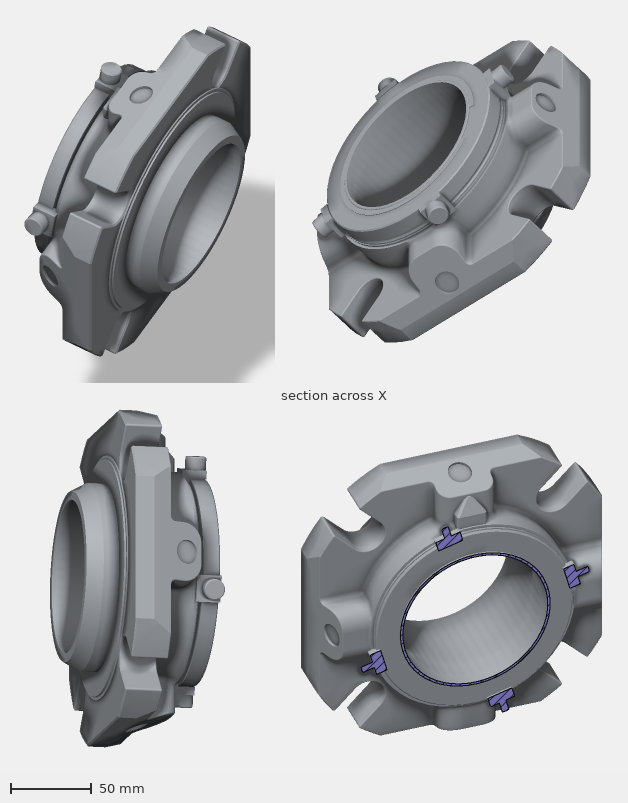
import cadquery as cq
import math


sleeve_length = 83.4
bore_diameter = 95.3
sleeve_front_diameter = 99.2
sleeve_front_chamfer = 0.4
sleeve_rear_diameter = 117.0
sleeve_end_diameter = 106.4
rear_taper_length = 9.7

snap_ring_diameter = 106.4
snap_ring_front = 0.5
snap_ring_gap_angle = 29.0

collar_diameter = 130.1
collar_front = 1.2
collar_rear = 11.9
collar_chamfer = 0.8

gland_lip_diameter = 131.7
gland_lip_front = 15.5
gland_nose_diameter = 130.1
gland_nose_front = 13.8
gland_nose_chamfer = 0.8
gland_diameter = 135.2
gland_front = 17.0

flange_size = 194.8
flange_corner_diameter = 214.7
flange_front = 38.4
flange_rear = 61.8
side_taper_start = 50.0
side_taper_angle = 20.0
taper = math.radians(side_taper_angle)
corner_round = 1.2
front_edge_fillet = 0.8
rear_edge_chamfer = 1.0

gasket_diameter = 152.0
gasket_face_diameter = 147.5
gasket_step = 62.7
gasket_rear = 63.9

slot_width = 22.8
slot_end_radius = 86.9

boss_half_width = 18.7
boss_front = 17.5
boss_corner_radius = 12.0
top_boss_front = 24.2
top_boss_corner_radius = 8.4
boss_inner = 58.5
boss_outer = 101.3
boss_foot_fillet = 3.1
barrel_foot_fillet = 2.1

port_diameter = 15.2
port_depth = 2.0
vertical_port_x = 40.1
side_port_x = 27.5

badge_front = 18.0
badge_rear = 27.3
badge_half_width = 9.7
badge_base = 66.2
badge_shoulder = 75.8
badge_top = 87.0
badge_top_half_width = 1.4
badge_chamfer = 1.2

clip_width = 16.8
clip_front = collar_front
clip_rear = 16.5
clip_inner = 62.3
clip_outer = 69.7
screw_diameter = 13.0
screw_x = 6.8
screw_tip = 78.0
screw_tip_chamfer = 0.68
first_clip_angle = -15.0

tolerance = 0.02
barrel_tolerance = 0.2


def disc(diameter, x_start, x_end):
    """Cylinder on the shaft axis between two X positions."""
    return cq.Workplane("YZ").workplane(offset=x_start).circle(diameter / 2).extrude(x_end - x_start)


def turn(solid, angle):
    """Turn a solid about the shaft axis."""
    return solid.rotate((0, 0, 0), (1, 0, 0), angle)


def side_height(x):
    """Distance from the axis to the tapered flange side at a given X."""
    return flange_size / 2 - (side_taper_start - x) * math.tan(taper)


def pick_edges(body, wanted):
    """Select the edges of a body for which the test function holds."""
    return body.newObject([edge for edge in body.edges().vals() if wanted(edge)])


def boss(front, corner_radius):
    """Upward boss with two round front corners, longer than the flange side allows."""
    return (
        cq.Workplane("XY")
        .workplane(offset=boss_inner)
        .moveTo((front + side_taper_start) / 2, 0)
        .rect(side_taper_start - front, 2 * boss_half_width)
        .extrude(boss_outer - boss_inner)
        .edges("|Z and <X")
        .fillet(corner_radius)
    )


def flange_envelope():
    """Square block whose sides taper inward towards the front."""
    square = cq.Workplane("YZ").workplane(offset=side_taper_start).rect(flange_size, flange_size)
    tapered = square.extrude(-side_taper_start, taper=side_taper_angle)
    straight = square.newObject(tapered.faces(">X").vals()).wires().toPending()
    return tapered.union(straight.extrude(flange_rear - side_taper_start))


def slot():
    """Bolt slot, open at the +Y end."""
    length = flange_size
    return (
        cq.Workplane("YZ")
        .center(slot_end_radius + length / 2, 0)
        .slot2D(length + slot_width, slot_width)
        .extrude(flange_rear)
    )


def on_barrel(point):
    """True for a point on the cylindrical surface of the gland barrel."""
    return abs(math.hypot(point.y, point.z) - gland_diameter / 2) < barrel_tolerance


def on_flange_face(point):
    """True for a point on the front face of the flange."""
    return abs(point.x - flange_front) < tolerance


def is_boss_foot_edge(edge):
    """True where a boss meets the barrel behind its front face, or meets the flange face."""
    middle = edge.positionAt(0.5)
    if on_flange_face(middle):
        return not on_barrel(middle) and math.hypot(middle.y, middle.z) < boss_outer - tolerance
    return on_barrel(middle) and middle.x > boss_front + tolerance


def is_barrel_foot_edge(edge):
    """True where the gland barrel meets the flange face."""
    middle = edge.positionAt(0.5)
    return on_flange_face(middle) and on_barrel(middle)


def flange_blank():
    """Plate, gland barrel and bosses, filleted round the feet and trimmed to the tapered sides."""
    blank = turn(disc(flange_corner_diameter, flange_front, flange_rear), 45)
    blank = blank.union(turn(disc(gland_diameter, gland_front, flange_front), 45))
    blank = blank.union(boss(top_boss_front, top_boss_corner_radius))
    for index in range(1, 4):
        blank = blank.union(turn(boss(boss_front, boss_corner_radius), 90 * index))
    blank = pick_edges(blank, is_boss_foot_edge).fillet(boss_foot_fillet)
    blank = pick_edges(blank, is_barrel_foot_edge).fillet(barrel_foot_fillet)
    return blank.intersect(flange_envelope())


def is_front_rim_edge(edge):
    """True for the outer edges of the flange face: slots, slot mouths, corners and sides."""
    middle = edge.positionAt(0.5)
    in_face = on_flange_face(middle) and edge.BoundingBox().xlen < tolerance
    clear_of_barrel = math.hypot(middle.y, middle.z) > gland_diameter / 2 + 2 * barrel_foot_fillet
    clear_of_boss = min(abs(middle.y), abs(middle.z)) > boss_half_width + boss_foot_fillet + tolerance
    return in_face and clear_of_barrel and clear_of_boss


def is_mouth_edge(edge):
    """True for the edges along the shaft where a slot breaks out of the flange corner."""
    middle = edge.positionAt(0.5)
    at_corner = math.hypot(middle.y, middle.z) > flange_corner_diameter / 2 - 2
    beside_slot = abs(abs(middle.y) - abs(middle.z)) < slot_width
    return at_corner and beside_slot


def port(angle, x):
    """Blind port tool, square to the tapered side, on the boss at the given turn from the top."""
    side_normal = (-math.sin(taper), 0, math.cos(taper))
    mouth_plane = cq.Plane(origin=(x, 0, side_height(x)), xDir=(0, 1, 0), normal=side_normal)
    tool = cq.Workplane(mouth_plane).workplane(offset=-port_depth)
    return turn(tool.circle(port_diameter / 2).extrude(2 * port_depth), angle)


def flange():
    """Slotted flange with eased edges and four blind ports."""
    body = flange_blank()
    for index in range(4):
        body = body.cut(turn(slot(), 45 + 90 * index))
    body = pick_edges(body, is_mouth_edge).fillet(corner_round)
    body = pick_edges(body, is_front_rim_edge).fillet(front_edge_fillet)
    body = body.faces(">X").chamfer(rear_edge_chamfer)
    for angle, x in ((0, vertical_port_x), (90, side_port_x), (180, vertical_port_x), (270, side_port_x)):
        body = body.cut(port(angle, x))
    return body


def is_badge_rim_edge(edge):
    """True for the outline of the badge face, leaving out the crease across its shoulders."""
    middle = edge.positionAt(0.5)
    return middle.x < badge_rear - tolerance and abs(middle.z - badge_shoulder) > tolerance


def badge():
    """House-shaped plate whose pointed upper part slopes back into the top boss."""
    outline = (
        cq.Workplane("YZ")
        .workplane(offset=badge_front)
        .moveTo(-badge_half_width, badge_base)
        .lineTo(badge_half_width, badge_base)
        .lineTo(badge_half_width, badge_shoulder)
        .lineTo(badge_top_half_width, badge_top)
        .lineTo(-badge_top_half_width, badge_top)
        .lineTo(-badge_half_width, badge_shoulder)
        .close()
        .extrude(badge_rear - badge_front)
    )
    side_profile = (
        cq.Workplane("XZ")
        .moveTo(badge_front, badge_base)
        .lineTo(badge_rear, badge_base)
        .lineTo(badge_rear, badge_top)
        .lineTo(top_boss_front, badge_top)
        .lineTo(badge_front, badge_shoulder)
        .close()
        .extrude(badge_half_width, both=True)
    )
    plate = outline.intersect(side_profile)
    rim = [edge for edge in plate.edges("not(|X)").vals() if is_badge_rim_edge(edge)]
    return plate.newObject(rim).chamfer(badge_chamfer)


def sleeve():
    """Solid sleeve blank: slim front, wider tapered rear behind the flange."""
    rear = disc(sleeve_rear_diameter, flange_rear, sleeve_length)
    rear_reduction = (sleeve_rear_diameter - sleeve_end_diameter) / 2
    rear = rear.faces(">X").chamfer(rear_taper_length, rear_reduction)
    front = disc(sleeve_front_diameter, 0, flange_rear).faces("<X").chamfer(sleeve_front_chamfer)
    return front.union(rear)


def gasket():
    """Backing gasket with a smaller raised face."""
    base = disc(gasket_diameter, flange_rear, gasket_step)
    return base.union(disc(gasket_face_diameter, gasket_step, gasket_rear))


def gland_nose():
    """Stepped front end of the gland barrel, facing the collar."""
    nose = disc(gland_nose_diameter, gland_nose_front, gland_front).faces("<X").chamfer(gland_nose_chamfer)
    return nose.union(disc(gland_lip_diameter, gland_lip_front, gland_front))


def collar():
    """Clamping collar with an eased front rim."""
    return disc(collar_diameter, collar_front, collar_rear).faces("<X").chamfer(collar_chamfer)


def snap_ring():
    """Ring in front of the collar, with a gap that starts on the -Y side and runs downward."""
    ring = disc(snap_ring_diameter, snap_ring_front, collar_front)
    gap_angle = math.radians(snap_ring_gap_angle)
    gap = (
        cq.Workplane("YZ")
        .lineTo(-snap_ring_diameter, 0)
        .lineTo(-snap_ring_diameter, -snap_ring_diameter * math.tan(gap_angle))
        .close()
        .extrude(collar_front)
    )
    return ring.cut(gap)


def clip():
    """Setting clip with its radial screw, pointing up."""
    block = cq.Workplane("XY").box(
        clip_rear - clip_front, clip_width, clip_outer - clip_inner, centered=(False, True, False)
    )
    block = block.translate((clip_front, 0, clip_inner))
    block = block.cut(disc(collar_diameter, 0, collar_rear))
    screw = (
        cq.Workplane("XY")
        .workplane(offset=clip_outer)
        .center(screw_x, 0)
        .circle(screw_diameter / 2)
        .extrude(screw_tip - clip_outer)
        .faces(">Z")
        .chamfer(screw_tip_chamfer)
    )
    return block.union(screw)


result = flange().union(badge()).union(gasket()).union(sleeve())
result = result.union(gland_nose())
result = result.union(collar()).union(snap_ring())
for index in range(4):
    result = result.union(turn(clip(), first_clip_angle + 90 * index))
result = result.cut(disc(bore_diameter, 0, sleeve_length))